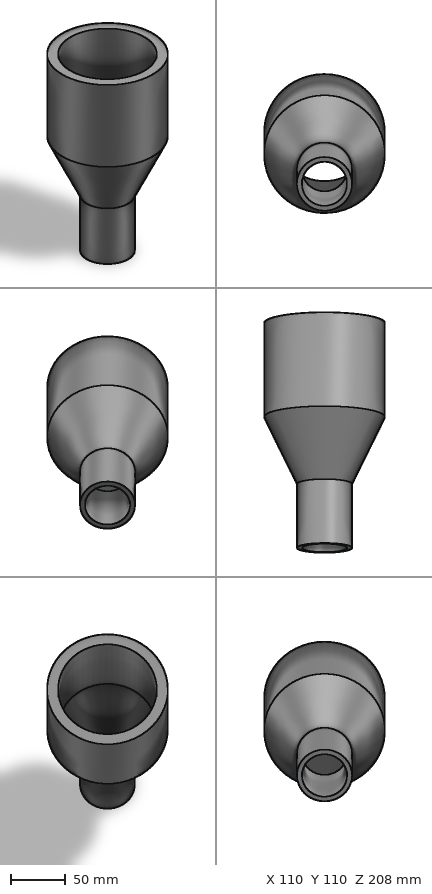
import cadquery as cq

total_height = 208.0
spigot_length = 59.0
cone_length = 62.0
socket_diameter = 110.0
socket_bore = 89.9
spigot_diameter = 50.1
spigot_bore = 41.0

cone_top = spigot_length + cone_length


def stepped_solid(spigot_dia, socket_dia):
    """Solid of revolution: narrow cylinder, cone, wide cylinder."""
    spigot_radius = spigot_dia / 2
    socket_radius = socket_dia / 2
    profile = (
        cq.Workplane("XZ")
        .moveTo(0, 0)
        .lineTo(spigot_radius, 0)
        .lineTo(spigot_radius, spigot_length)
        .lineTo(socket_radius, cone_top)
        .lineTo(socket_radius, total_height)
        .lineTo(0, total_height)
        .close()
    )
    return profile.revolve(360, (0, 0, 0), (0, 1, 0))


body = stepped_solid(spigot_diameter, socket_diameter)
bore = stepped_solid(spigot_bore, socket_bore)
result = body.cut(bore)